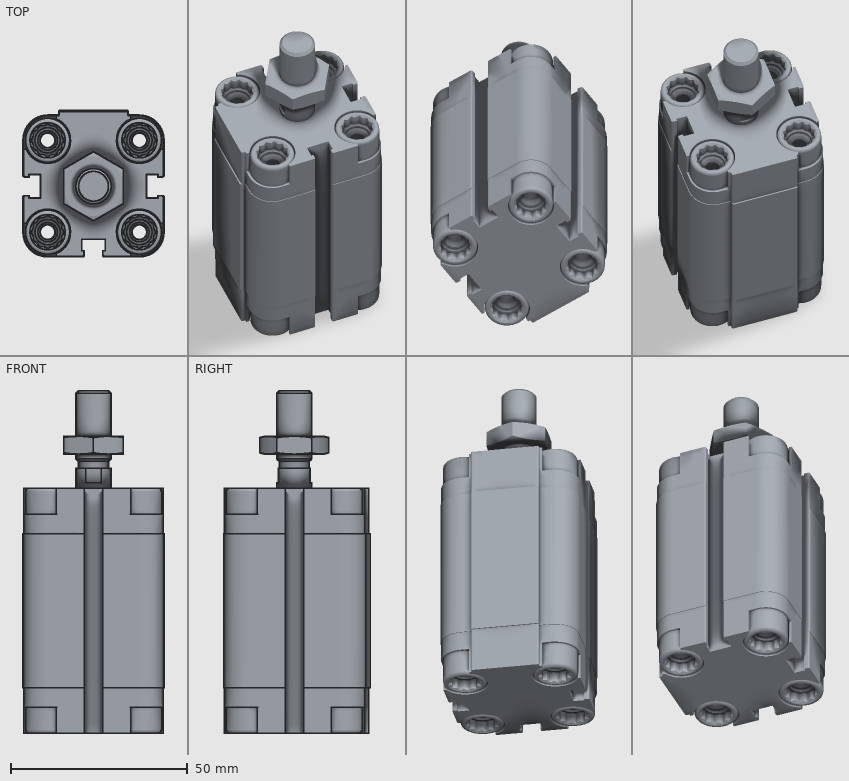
import cadquery as cq
import math


total_height = 97.0
housing_height = 69.5
cap_height = 12.9
barrel_height = housing_height - 2 * cap_height

screw_offset = 13.0
barrel_half_width = 20.0
cap_half_width = 19.8
rear_wall_extra = 0.2
pad_half_width = 9.8
pad_edge_radius = 0.5
barrel_pad_y = 21.5
cap_pad_y = 21.1

slot_mouth_width = 5.2
slot_inner_width = 6.6
slot_floor = 15.0
slot_lip_inner = 18.2
slot_lip_radius = 0.5

head_diameter = 12.5
head_pocket_diameter = 13.0
head_height = 7.4
head_fillet = 1.0
corner_notch_start = 10.5
socket_across_flats = 8.1
socket_depth = 3.4
socket_mouth_diameter = 10.0
socket_mouth_depth = 0.7
socket_mouth_end_diameter = 8.1
relief_diameter = 7.2
relief_depth = 4.2
cone_diameter = 5.5
screw_bore_diameter = 4.2
cone_depth = (cone_diameter - screw_bore_diameter) / 2

rod_diameter = 10.0
rod_tip_diameter = 8.4
neck_diameter = 8.6
neck_start = 75.0
thread_start = 77.0
rod_tip_chamfer = (rod_diameter - rod_tip_diameter) / 2
thread_chamfer = (rod_diameter - neck_diameter) / 2
wrench_flat_width = 8.9
wrench_flat_start = 70.9

nut_across_flats = 17.0
nut_start = 79.1
nut_height = 5.0
nut_face_diameter = 16.9
nut_corner_chamfer = 0.4


def hexagon(across_flats, height):
    """Hexagonal prism on Z = 0 with corners on the Y axis."""
    corner_diameter = across_flats / math.cos(math.pi / 6)
    prism = cq.Workplane("XY").polygon(6, corner_diameter).extrude(height)
    return prism.rotate((0, 0, 0), (0, 0, 1), 30)


def slot_cutter(half_width, height):
    """T-slot that opens toward +X at half_width, with rounded outer lips."""
    mouth = slot_mouth_width / 2
    inner = slot_inner_width / 2
    flare = mouth + slot_lip_radius
    lip_start = half_width - slot_lip_radius
    return (
        cq.Workplane("XY")
        .moveTo(half_width, -flare)
        .radiusArc((lip_start, -mouth), -slot_lip_radius)
        .lineTo(slot_lip_inner, -mouth)
        .lineTo(slot_lip_inner, -inner)
        .lineTo(slot_floor, -inner)
        .lineTo(slot_floor, inner)
        .lineTo(slot_lip_inner, inner)
        .lineTo(slot_lip_inner, mouth)
        .lineTo(lip_start, mouth)
        .radiusArc((half_width, flare), -slot_lip_radius)
        .close()
        .extrude(height)
    )


def housing_section(half_width, pad_y, height):
    """Rounded square prism with a pad on +Y and T-slots on the other sides."""
    front_corner_radius = half_width - screw_offset
    rear_corner_radius = front_corner_radius + rear_wall_extra
    section = (
        cq.Workplane("XY")
        .center(0, rear_wall_extra / 2)
        .rect(2 * half_width, 2 * half_width + rear_wall_extra)
        .extrude(height)
    )
    section = section.edges("|Z and <Y").fillet(front_corner_radius)
    section = section.edges("|Z and >Y").fillet(rear_corner_radius)
    pad = (
        cq.Workplane("XY")
        .center(0, pad_y / 2)
        .rect(2 * pad_half_width, pad_y)
        .extrude(height)
        .edges("|Z and >Y")
        .fillet(pad_edge_radius)
    )
    section = section.union(pad)
    for angle in (0, 180, 270):
        cutter = slot_cutter(half_width, height)
        section = section.cut(cutter.rotate((0, 0, 0), (0, 0, 1), angle))
    return section


def screw_head():
    """Screw head on Z = 0, with a twelve-point socket in its upper end."""
    head = cq.Workplane("XY").circle(head_diameter / 2).extrude(head_height)
    head = head.faces(">Z").edges().fillet(head_fillet)
    socket_floor = head_height - socket_depth
    for angle in (0, 30):
        hexagonal_recess = hexagon(socket_across_flats, socket_depth)
        hexagonal_recess = hexagonal_recess.rotate((0, 0, 0), (0, 0, 1), angle)
        head = head.cut(hexagonal_recess.translate((0, 0, socket_floor)))

    relief_floor = head_height - relief_depth
    bore_start = relief_floor - cone_depth
    mouth_start = head_height - socket_mouth_depth
    recess_profile = [
        (0, 0),
        (screw_bore_diameter / 2, 0),
        (screw_bore_diameter / 2, bore_start),
        (cone_diameter / 2, relief_floor),
        (relief_diameter / 2, relief_floor),
        (relief_diameter / 2, mouth_start),
        (socket_mouth_end_diameter / 2, mouth_start),
        (socket_mouth_diameter / 2, head_height),
        (0, head_height),
    ]
    recess = cq.Workplane("XZ").polyline(recess_profile).close().revolve(360, (0, 0), (0, 1))
    return head.cut(recess)


def end_cap():
    """Upper end cap on Z = 0, with a screw head standing in each open corner."""
    cap = housing_section(cap_half_width, cap_pad_y, cap_height)
    seat = cap_height - head_height
    notch_size = cap_half_width + rear_wall_extra - corner_notch_start
    notch_centre = corner_notch_start + notch_size / 2
    for side_x in (-1, 1):
        for side_y in (-1, 1):
            notch = cq.Workplane("XY").rect(notch_size, notch_size).extrude(head_height)
            cap = cap.cut(notch.translate((side_x * notch_centre, side_y * notch_centre, seat)))
            place = (side_x * screw_offset, side_y * screw_offset, seat)
            pocket = cq.Workplane("XY").circle(head_pocket_diameter / 2).extrude(head_height)
            cap = cap.cut(pocket.translate(place))
            cap = cap.union(screw_head().translate(place))
    return cap


def make_housing():
    """Barrel between two mirrored end caps, with four bores right through."""
    barrel = housing_section(barrel_half_width, barrel_pad_y, barrel_height)
    cap = end_cap()
    upper_cap = cap.translate((0, 0, cap_height + barrel_height))
    lower_cap = cap.mirror("XY").translate((0, 0, cap_height))
    body = barrel.translate((0, 0, cap_height)).union(upper_cap).union(lower_cap)
    bores = (
        cq.Workplane("XY")
        .rect(2 * screw_offset, 2 * screw_offset, forConstruction=True)
        .vertices()
        .circle(screw_bore_diameter / 2)
        .extrude(housing_height)
    )
    return body.cut(bores)


def make_rod():
    """Rod standing on the housing, with wrench flats, a neck and a plain thread."""
    rod_profile = [
        (0, housing_height),
        (rod_diameter / 2, housing_height),
        (rod_diameter / 2, neck_start),
        (neck_diameter / 2, neck_start),
        (neck_diameter / 2, thread_start),
        (rod_diameter / 2, thread_start + thread_chamfer),
        (rod_diameter / 2, total_height - rod_tip_chamfer),
        (rod_tip_diameter / 2, total_height),
        (0, total_height),
    ]
    rod = cq.Workplane("XZ").polyline(rod_profile).close().revolve(360, (0, 0), (0, 1))
    flat_height = neck_start - wrench_flat_start
    cutter_offset = (wrench_flat_width + rod_diameter) / 2
    for side in (-1, 1):
        flat_cutter = cq.Workplane("XY").rect(rod_diameter, rod_diameter).extrude(flat_height)
        rod = rod.cut(flat_cutter.translate((0, side * cutter_offset, wrench_flat_start)))
    return rod


def make_nut():
    """Hexagonal nut with conical corner chamfers on both faces."""
    corner_radius = nut_across_flats / 2 / math.cos(math.pi / 6)
    face_radius = nut_face_diameter / 2
    envelope_profile = [
        (0, 0),
        (face_radius, 0),
        (corner_radius, nut_corner_chamfer),
        (corner_radius, nut_height - nut_corner_chamfer),
        (face_radius, nut_height),
        (0, nut_height),
    ]
    envelope = cq.Workplane("XZ").polyline(envelope_profile).close().revolve(360, (0, 0), (0, 1))
    nut = hexagon(nut_across_flats, nut_height).intersect(envelope)
    thread_hole = cq.Workplane("XY").circle(rod_diameter / 2).extrude(nut_height)
    return nut.cut(thread_hole).translate((0, 0, nut_start))


housing = make_housing()
rod = make_rod()
nut = make_nut()

result = cq.Compound.makeCompound([housing.val(), rod.val(), nut.val()])